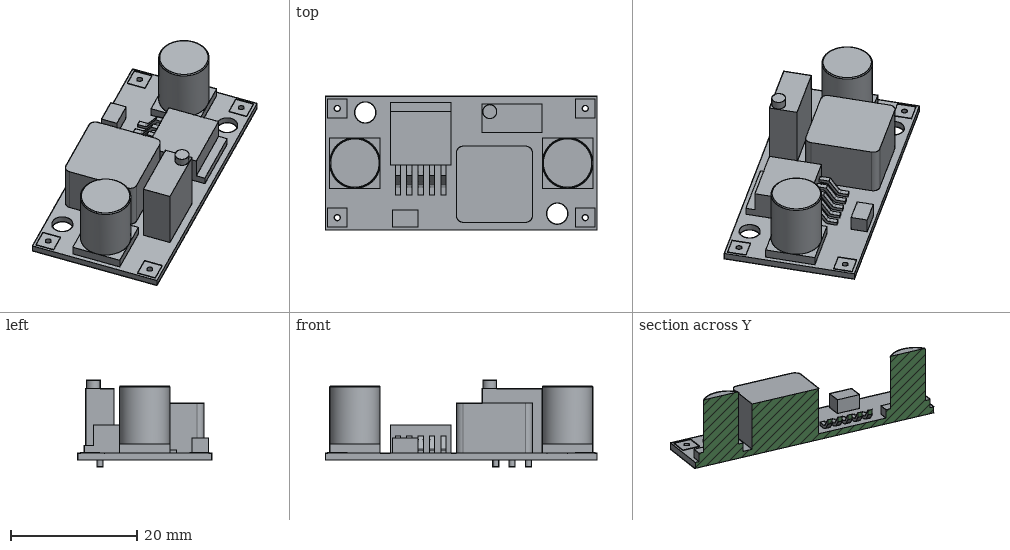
import cadquery as cq
import math

BOARD_LENGTH = 43.0
BOARD_WIDTH = 21.2
BOARD_THICKNESS = 1.1

MOUNT_HOLE_DIAMETER = 3.3
MOUNT_HOLE_X = 15.2
MOUNT_HOLE_Y = 8.0

PAD_SIDE = 3.0
PAD_HEIGHT = 0.1
PAD_HOLE_DIAMETER = 0.9
PAD_X = 19.6
PAD_Y = 8.65

CAN_DIAMETER = 8.0
CAN_BASE_HEIGHT = 1.45
CAN_TOP_Z = 10.6
CAN_RIM_CHAMFER = 0.17
CAN_X = 16.8

REGULATOR_X = -6.4
REGULATOR_WIDTH = 9.6
REGULATOR_FRONT_Y = -0.35
REGULATOR_BACK_Y = 8.13
REGULATOR_HEIGHT = 4.47
TAB_BACK_Y = 9.6
TAB_HEIGHT = 1.2

LEAD_COUNT = 5
LEAD_PITCH = 1.8
LEAD_WIDTH = 0.8
LEAD_THICKNESS = 0.5
LEAD_TOP_Z = 2.65
LEAD_BEND_Y = -1.98
LEAD_FOOT_BEND_Y = -3.53
LEAD_TIP_Y = -5.05
LEAD_BEND_RADIUS = 0.5

TRIMMER_LENGTH = 9.45
TRIMMER_WIDTH = 4.5
TRIMMER_HEIGHT = 10.2
TRIMMER_X = 8.05
TRIMMER_Y = 7.1
SCREW_DIAMETER = 2.2
SCREW_HEIGHT = 1.35
SCREW_X = 4.5
SCREW_Y = 8.13
PIN_COUNT = 3
PIN_DIAMETER = 1.0
PIN_PITCH = 2.6
PIN_LENGTH = 1.08

INDUCTOR_SIDE = 12.05
INDUCTOR_HEIGHT = 7.9
INDUCTOR_CORNER_RADIUS = 1.08
INDUCTOR_X = 5.25
INDUCTOR_Y = -3.35

CHIP_LENGTH = 4.0
CHIP_WIDTH = 2.62
CHIP_HEIGHT = 2.4
CHIP_X = -8.85
CHIP_Y = -8.77


def block(length, width, height, x, y):
    """Box standing on the board, centred at (x, y)."""
    return cq.Workplane("XY").box(length, width, height, centered=(True, True, False)).translate((x, y, 0))


def cylinder(diameter, x, y, bottom, top):
    """Upright cylinder between two heights."""
    return cq.Workplane("XY", origin=(x, y, bottom)).circle(diameter / 2).extrude(top - bottom)


def make_board():
    """Plain board with raised pads, drilled for mounting and for wires."""
    board = cq.Workplane("XY").box(BOARD_LENGTH, BOARD_WIDTH, BOARD_THICKNESS, centered=(True, True, False))
    board = board.translate((0, 0, -BOARD_THICKNESS))
    for x in (-PAD_X, PAD_X):
        for y in (-PAD_Y, PAD_Y):
            board = board.union(block(PAD_SIDE, PAD_SIDE, PAD_HEIGHT, x, y))
            board = board.cut(cylinder(PAD_HOLE_DIAMETER, x, y, -BOARD_THICKNESS, PAD_HEIGHT))
    for side in (-1, 1):
        x = side * MOUNT_HOLE_X
        y = -side * MOUNT_HOLE_Y
        board = board.cut(cylinder(MOUNT_HOLE_DIAMETER, x, y, -BOARD_THICKNESS, 0))
    return board


def make_capacitor(x):
    """Can with a chamfered top rim on its square base."""
    can = cylinder(CAN_DIAMETER, x, 0, CAN_BASE_HEIGHT, CAN_TOP_Z).faces(">Z").chamfer(CAN_RIM_CHAMFER)
    return block(CAN_DIAMETER, CAN_DIAMETER, CAN_BASE_HEIGHT, x, 0).union(can)


def make_lead(x):
    """Bent strip of even thickness, with round bends except on the upper outside corner."""
    slope = math.atan2(LEAD_TOP_Z - LEAD_THICKNESS, LEAD_BEND_Y - LEAD_FOOT_BEND_Y)
    bend_shift = LEAD_THICKNESS * math.tan(slope / 2)
    under_bend_y = LEAD_BEND_Y + bend_shift
    under_foot_bend_y = LEAD_FOOT_BEND_Y + bend_shift
    under_z = LEAD_TOP_Z - LEAD_THICKNESS
    profile = [
        (REGULATOR_FRONT_Y, LEAD_TOP_Z),
        (LEAD_BEND_Y, LEAD_TOP_Z),
        (LEAD_FOOT_BEND_Y, LEAD_THICKNESS),
        (LEAD_TIP_Y, LEAD_THICKNESS),
        (LEAD_TIP_Y, 0),
        (under_foot_bend_y, 0),
        (under_bend_y, under_z),
        (REGULATOR_FRONT_Y, under_z),
    ]
    lead = cq.Workplane("YZ", origin=(x - LEAD_WIDTH / 2, 0, 0)).polyline(profile).close().extrude(LEAD_WIDTH)

    def round_bend(strip, y, z, radius):
        edge = cq.selectors.NearestToPointSelector((x, y, z))
        return strip.edges("|X").edges(edge).fillet(radius)

    outer_radius = LEAD_BEND_RADIUS + LEAD_THICKNESS
    lead = round_bend(lead, LEAD_FOOT_BEND_Y, LEAD_THICKNESS, LEAD_BEND_RADIUS)
    lead = round_bend(lead, under_foot_bend_y, 0, outer_radius)
    return round_bend(lead, under_bend_y, under_z, LEAD_BEND_RADIUS)


def make_regulator():
    """Body, heat tab and a row of leads along the front."""
    body_depth = REGULATOR_BACK_Y - REGULATOR_FRONT_Y
    body_y = (REGULATOR_BACK_Y + REGULATOR_FRONT_Y) / 2
    tab_depth = TAB_BACK_Y - REGULATOR_BACK_Y
    tab_y = (TAB_BACK_Y + REGULATOR_BACK_Y) / 2
    regulator = block(REGULATOR_WIDTH, body_depth, REGULATOR_HEIGHT, REGULATOR_X, body_y)
    regulator = regulator.union(block(REGULATOR_WIDTH, tab_depth, TAB_HEIGHT, REGULATOR_X, tab_y))
    for i in range(LEAD_COUNT):
        x = REGULATOR_X + (i - (LEAD_COUNT - 1) / 2) * LEAD_PITCH
        regulator = regulator.union(make_lead(x))
    return regulator


def make_trimmer():
    """Box, adjusting screw, and pins passing down through the board."""
    trimmer = block(TRIMMER_LENGTH, TRIMMER_WIDTH, TRIMMER_HEIGHT, TRIMMER_X, TRIMMER_Y)
    screw_top = TRIMMER_HEIGHT + SCREW_HEIGHT
    trimmer = trimmer.union(cylinder(SCREW_DIAMETER, SCREW_X, SCREW_Y, TRIMMER_HEIGHT, screw_top))
    for i in range(PIN_COUNT):
        x = TRIMMER_X + (i - (PIN_COUNT - 1) / 2) * PIN_PITCH
        trimmer = trimmer.union(cylinder(PIN_DIAMETER, x, TRIMMER_Y, -BOARD_THICKNESS - PIN_LENGTH, 0))
    return trimmer


def make_inductor():
    """Block with its four upright edges rounded."""
    inductor = block(INDUCTOR_SIDE, INDUCTOR_SIDE, INDUCTOR_HEIGHT, INDUCTOR_X, INDUCTOR_Y)
    return inductor.edges("|Z").fillet(INDUCTOR_CORNER_RADIUS)


result = make_board()
for can_x in (-CAN_X, CAN_X):
    result = result.union(make_capacitor(can_x))
result = result.union(make_regulator())
result = result.union(make_trimmer())
result = result.union(make_inductor())
result = result.union(block(CHIP_LENGTH, CHIP_WIDTH, CHIP_HEIGHT, CHIP_X, CHIP_Y))